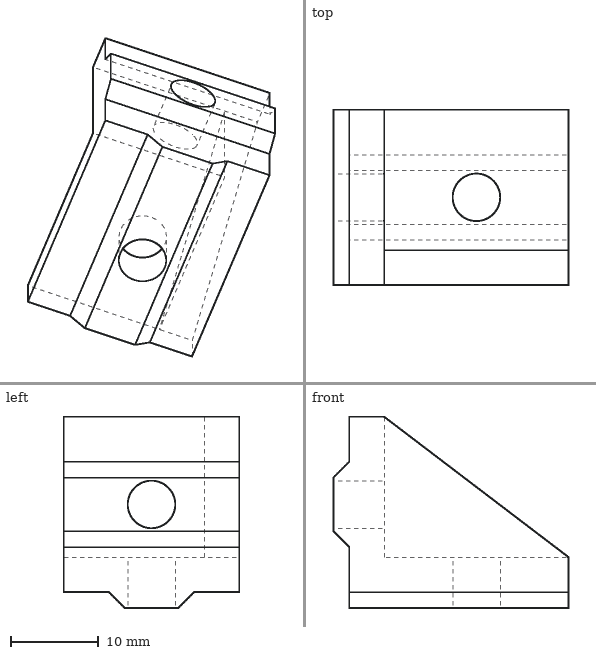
import cadquery as cq

overall_length = 26.8
body_size = 20.0
key_depth = 1.8
key_tip_width = 6.1
thickness = 4.0
hole_diameter = 5.4

body_length = overall_length - key_depth
middle = body_size / 2
tip_half = key_tip_width / 2
root_half = tip_half + key_depth
floor_hole_x = (thickness + body_length) / 2


def make_body():
    """Upright wall and floor, joined by a sloped gusset on the -Y side."""
    wall = cq.Workplane("XY").box(thickness, body_size, body_size, centered=False)
    floor = cq.Workplane("XY").box(body_length, body_size, thickness, centered=False)
    gusset = (
        cq.Workplane("XZ")
        .polyline([
            (0, 0),
            (body_length, 0),
            (body_length, thickness),
            (thickness, body_size),
            (0, body_size),
        ])
        .close()
        .extrude(-thickness)
    )
    return wall.union(floor).union(gusset)


def key_profile(plane):
    """Trapezoid whose root lies on the body and whose tip points outward."""
    return (
        cq.Workplane(plane)
        .polyline([
            (0, middle - root_half),
            (-key_depth, middle - tip_half),
            (-key_depth, middle + tip_half),
            (0, middle + root_half),
        ])
        .close()
    )


wall_key = key_profile("XZ").extrude(-body_size)
floor_key = key_profile("ZY").extrude(-body_length)

wall_hole = (
    cq.Workplane("YZ", origin=(-key_depth, middle, middle))
    .circle(hole_diameter / 2)
    .extrude(key_depth + thickness)
)
floor_hole = (
    cq.Workplane("XY", origin=(floor_hole_x, middle, -key_depth))
    .circle(hole_diameter / 2)
    .extrude(key_depth + thickness)
)

result = make_body().union(wall_key).union(floor_key).cut(wall_hole).cut(floor_hole)